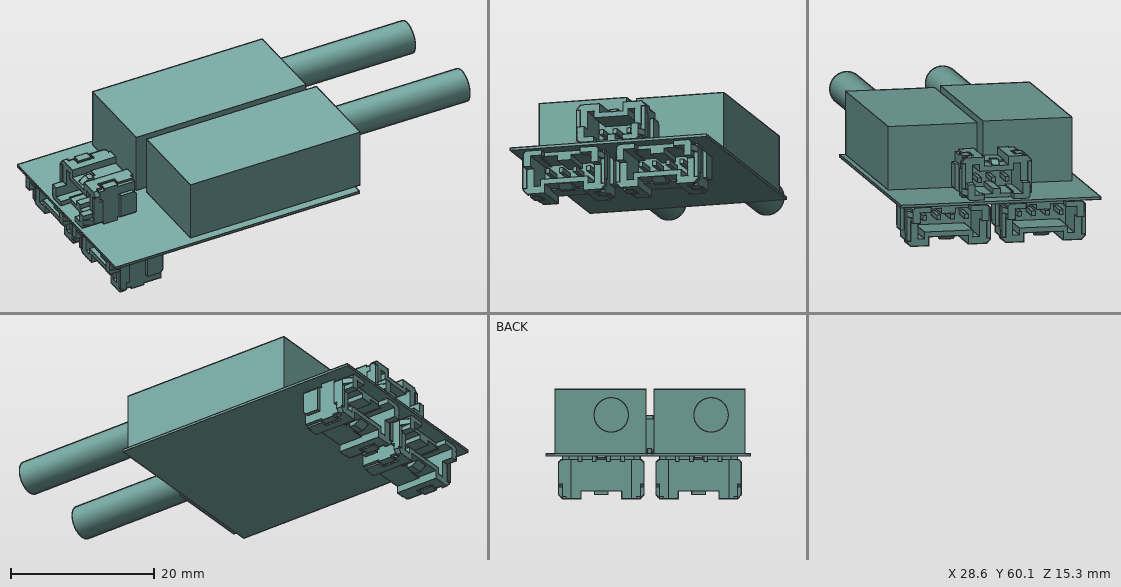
import cadquery as cq

BOARD_WIDTH = 28.6
BOARD_LENGTH = 38.8
BOARD_THICKNESS = 0.35

OVERALL_LENGTH = 60.1
BLOCK_WIDTH = 12.75
BLOCK_LENGTH = 27.0
BLOCK_HEIGHT = 9.0
LEFT_BLOCK_X = -7.15
RIGHT_BLOCK_X = 6.65
LEFT_BLOCK_REAR = 38.5
RIGHT_BLOCK_REAR = 39.6
CABLE_DIAMETER = 4.8
CABLE_HEIGHT = 5.4
LEFT_CABLE_X = -8.8
RIGHT_CABLE_X = 5.15
CABLE_LENGTH = OVERALL_LENGTH - RIGHT_BLOCK_REAR

UPPER_CONNECTOR_X = -0.2
LOWER_CONNECTORS_X = (-7.0, 6.55)

PIN_PITCH = 2.0
HOUSING_HEIGHT = 5.95
HOUSING_FRONT = 2.0
HOUSING_REAR = 8.5
SIDE_WALL = 1.0
MOUTH_MARGIN = 2.9
UNDERSIDE = 0.2
REAR_UNDERSIDE = 0.5

CAVITY_FLOOR = 0.9
CENTRE_FLOOR = 0.7
CAVITY_ROOF = 4.9
CAVITY_BACK = 7.5
KEY_TOP = 1.45
RIB_INSET = 0.95
RIB_BOTTOM = 3.95

SHELF_FRONT_TOP = 4.7
SHELF_REAR_TOP = 4.85
SHELF_STEP_Y = 4.9
TONGUE_FRONT = 4.2
NUB_TOP = 5.35
NUB_CREST_FRONT = 3.35
NUB_FRONT = 2.35

ARM_FRONT = 0.35
OUTER_ARM_TOP = 2.4
LOWER_BEVEL = 0.3

FOOT_FRONT = 3.6
FOOT_REAR = 5.8
INNER_FOOT_REAR = 6.9
INNER_FOOT_INSET = 0.9
FOOT_GAP = 1.1

PLATE_PROUD = 0.55
PLATE_BOTTOM = 0.85
PLATE_TOP = 4.3
FRONT_PLATE_FRONT = 1.8
FRONT_PLATE_STEP = 2.75
FRONT_PLATE_REAR = 3.25
FRONT_PLATE_SHOULDER = 5.35
FRONT_LIP_TOP = 5.15
WEDGE_TOP = 1.7
REAR_PLATE_FRONT = 6.05
REAR_PLATE_CHAMFER = 0.4

EDGE_STEP_DEPTH = 0.3
EDGE_STEP_WIDTH = 0.5
EDGE_STEP_FRONT = 2.7
PAD_FRONT = 3.8
PAD_REAR = 5.8
PAD_WIDTH = 1.2
PAD_GROOVE = 0.3

PANEL_INSET = 1.2
PIN_WIDTH = 0.55
PIN_THICKNESS = 0.65
PIN_HEIGHT = 2.35
PIN_TIP_Y = 3.9
TAIL_REAR = 9.85
TAIL_FRONT = 8.15
TAIL_HEIGHT = 0.7


def box(x_range, y_range, z_range):
    """Axis-aligned box between the given pairs of limits."""
    size = [end - start for start, end in (x_range, y_range, z_range)]
    corner = (x_range[0], y_range[0], z_range[0])
    return cq.Workplane("XY").box(*size, centered=False).translate(corner)


def centred_box(width, y_range, z_range):
    """Box that is symmetric about X = 0."""
    return box((-width / 2, width / 2), y_range, z_range)


def both_sides(shape):
    """The shape together with its mirror image across X = 0."""
    return shape.union(shape.mirror("YZ"))


def make_board():
    return centred_box(BOARD_WIDTH, (0, BOARD_LENGTH), (-BOARD_THICKNESS, 0))


def make_block(centre_x, rear_y):
    block = centred_box(BLOCK_WIDTH, (rear_y - BLOCK_LENGTH, rear_y), (0, BLOCK_HEIGHT))
    return block.translate((centre_x, 0, 0))


def make_cable(centre_x, block_rear_y):
    start = cq.Workplane("XZ", origin=(centre_x, block_rear_y, CABLE_HEIGHT))
    return start.circle(CABLE_DIAMETER / 2).extrude(-CABLE_LENGTH)


def make_shell(half_width, cavity_width, slot_width, key_width):
    """Housing block with its mouth cavity, roof rib, latch slot and floor key."""
    housing_y = (HOUSING_FRONT, HOUSING_REAR)
    cavity_y = (HOUSING_FRONT, CAVITY_BACK)
    rib_width = cavity_width - 2 * RIB_INSET
    shell = centred_box(2 * half_width, housing_y, (UNDERSIDE, HOUSING_HEIGHT))
    shell = shell.cut(centred_box(2 * half_width, (FOOT_REAR, HOUSING_REAR), (UNDERSIDE, REAR_UNDERSIDE)))
    shell = shell.cut(centred_box(cavity_width, cavity_y, (CAVITY_FLOOR, CAVITY_ROOF)))
    shell = shell.cut(centred_box(rib_width, cavity_y, (CENTRE_FLOOR, CAVITY_FLOOR)))
    shell = shell.union(centred_box(rib_width, cavity_y, (RIB_BOTTOM, CAVITY_ROOF)))
    shell = shell.union(centred_box(key_width, cavity_y, (CENTRE_FLOOR, KEY_TOP)))
    slot_front = centred_box(slot_width, (HOUSING_FRONT, SHELF_STEP_Y), (SHELF_FRONT_TOP, HOUSING_HEIGHT))
    slot_rear = centred_box(slot_width, (SHELF_STEP_Y, HOUSING_REAR), (SHELF_REAR_TOP, HOUSING_HEIGHT))
    return shell.cut(slot_front).cut(slot_rear)


def make_latch_nub(nub_width):
    """Tongue from the rear shelf that rises to a nub and ramps down to the front."""
    profile = [
        (SHELF_STEP_Y, SHELF_FRONT_TOP),
        (SHELF_STEP_Y, SHELF_REAR_TOP),
        (TONGUE_FRONT, SHELF_REAR_TOP),
        (TONGUE_FRONT, NUB_TOP),
        (NUB_CREST_FRONT, NUB_TOP),
        (NUB_FRONT, SHELF_FRONT_TOP),
    ]
    return cq.Workplane("YZ").polyline(profile).close().extrude(nub_width / 2, both=True)


def make_arms(half_width, cavity_width, arm_gap):
    """Stepped arms that reach forward below the mouth on both sides."""
    arm_y = (ARM_FRONT, HOUSING_FRONT)
    inner = box((arm_gap / 2, cavity_width / 2), arm_y, (UNDERSIDE, CAVITY_FLOOR))
    outer = box((cavity_width / 2, half_width), arm_y, (UNDERSIDE, OUTER_ARM_TOP))
    return both_sides(inner.union(outer))


def make_lower_bevels(half_width):
    """Material removed along the bottom outer edges, from the arms back to the feet."""
    profile = [
        (half_width, UNDERSIDE),
        (half_width, UNDERSIDE + LOWER_BEVEL),
        (half_width - LOWER_BEVEL, UNDERSIDE),
    ]
    bevel = cq.Workplane("XZ", origin=(0, FOOT_FRONT, 0)).polyline(profile).close()
    return both_sides(bevel.extrude(FOOT_FRONT - ARM_FRONT))


def make_feet(half_width):
    """Feet resting on the board, parted by a gap in the middle."""
    outer = box((FOOT_GAP / 2, half_width), (FOOT_FRONT, FOOT_REAR), (0, UNDERSIDE))
    inner_x = (FOOT_GAP / 2, half_width - INNER_FOOT_INSET)
    inner = box(inner_x, (FOOT_REAR, INNER_FOOT_REAR), (0, REAR_UNDERSIDE))
    return both_sides(outer.union(inner))


def make_front_plates(half_width):
    """Front side plates with a bevelled upper corner and a tapered wedge ahead of each."""
    outer_x = half_width + PLATE_PROUD
    bevelled_profile = [
        (half_width, PLATE_BOTTOM),
        (outer_x, PLATE_BOTTOM),
        (outer_x, FRONT_PLATE_SHOULDER),
        (half_width, HOUSING_HEIGHT),
    ]
    front = cq.Workplane("XZ", origin=(0, FRONT_PLATE_STEP, 0)).polyline(bevelled_profile).close()
    front = front.extrude(FRONT_PLATE_STEP - HOUSING_FRONT)
    lip = box((half_width, outer_x), (FRONT_PLATE_FRONT, HOUSING_FRONT), (PLATE_BOTTOM, FRONT_LIP_TOP))
    rear = box((half_width, outer_x), (FRONT_PLATE_STEP, FRONT_PLATE_REAR), (PLATE_BOTTOM, PLATE_TOP))
    wedge_outline = [
        (half_width, ARM_FRONT),
        (outer_x, FRONT_PLATE_FRONT),
        (half_width, FRONT_PLATE_FRONT),
    ]
    wedge = cq.Workplane("XY", origin=(0, 0, PLATE_BOTTOM)).polyline(wedge_outline).close()
    wedge = wedge.extrude(WEDGE_TOP - PLATE_BOTTOM)
    return both_sides(front.union(lip).union(rear).union(wedge))


def make_rear_plates(half_width):
    """Rear side plates, bevelled at the rear top corner and along the lower outer edge."""
    plate_x = (half_width, half_width + PLATE_PROUD)
    plate = box(plate_x, (REAR_PLATE_FRONT, HOUSING_REAR), (REAR_UNDERSIDE, PLATE_TOP))
    plate = plate.edges("|X and >Y and >Z").chamfer(REAR_PLATE_CHAMFER)
    plate = plate.edges("|Y and >X and <Z").chamfer(PLATE_BOTTOM - REAR_UNDERSIDE)
    return both_sides(plate)


def make_edge_recess(half_width):
    """Material removed along the roof edges, leaving a pad ringed by a groove on each."""
    recess_z = (HOUSING_HEIGHT - EDGE_STEP_DEPTH, HOUSING_HEIGHT)
    pad_inner_x = half_width - PAD_WIDTH
    step_y = (EDGE_STEP_FRONT, HOUSING_REAR)
    groove_y = (PAD_FRONT - PAD_GROOVE, PAD_REAR + PAD_GROOVE)
    step = box((half_width - EDGE_STEP_WIDTH, half_width), step_y, recess_z)
    groove = box((pad_inner_x - PAD_GROOVE, half_width), groove_y, recess_z)
    pad = box((pad_inner_x, half_width), (PAD_FRONT, PAD_REAR), recess_z)
    return both_sides(step.union(groove).cut(pad))


def make_rear_panel(half_width, panel_depth, slot_width):
    """Panel on the rear face, following the latch slot."""
    panel_y = (HOUSING_REAR, HOUSING_REAR + panel_depth)
    panel = centred_box(2 * (half_width - PANEL_INSET), panel_y, (REAR_UNDERSIDE, HOUSING_HEIGHT))
    return panel.cut(centred_box(slot_width, panel_y, (SHELF_REAR_TOP, HOUSING_HEIGHT)))


def make_pin():
    """Contact in the cavity and its solder tail behind the housing."""
    half_thickness = PIN_THICKNESS / 2
    contact_z = (PIN_HEIGHT - half_thickness, PIN_HEIGHT + half_thickness)
    contact = centred_box(PIN_WIDTH, (PIN_TIP_Y, CAVITY_BACK), contact_z)
    tail = centred_box(PIN_WIDTH, (TAIL_FRONT, TAIL_REAR), (0, TAIL_HEIGHT))
    return contact.union(tail)


def make_connector(pin_count, slot_width, arm_gap, key_width, nub_width, panel_depth):
    """One connector, housing and contacts in a single solid, standing on Z = 0."""
    pin_span = (pin_count - 1) * PIN_PITCH
    cavity_width = pin_span + MOUTH_MARGIN
    half_width = cavity_width / 2 + SIDE_WALL
    connector = make_shell(half_width, cavity_width, slot_width, key_width)
    connector = connector.cut(make_edge_recess(half_width))
    connector = connector.union(make_latch_nub(nub_width))
    connector = connector.union(make_arms(half_width, cavity_width, arm_gap))
    connector = connector.cut(make_lower_bevels(half_width))
    connector = connector.union(make_feet(half_width))
    connector = connector.union(make_front_plates(half_width))
    connector = connector.union(make_rear_plates(half_width))
    connector = connector.union(make_rear_panel(half_width, panel_depth, slot_width))
    for index in range(pin_count):
        connector = connector.union(make_pin().translate((index * PIN_PITCH - pin_span / 2, 0, 0)))
    return connector


def make_upper_connector():
    connector = make_connector(
        pin_count=3, slot_width=3.4, arm_gap=4.2, key_width=1.1, nub_width=1.1, panel_depth=0.35
    )
    return connector.translate((UPPER_CONNECTOR_X, 0, 0))


def make_lower_connector(centre_x):
    """Four-pin connector hanging upside down from the underside of the board."""
    connector = make_connector(
        pin_count=4, slot_width=5.65, arm_gap=5.65, key_width=2.0, nub_width=1.9, panel_depth=0.1
    )
    return connector.mirror("XY").translate((centre_x, 0, -BOARD_THICKNESS))


board = make_board()
blocks = [
    make_block(LEFT_BLOCK_X, LEFT_BLOCK_REAR),
    make_block(RIGHT_BLOCK_X, RIGHT_BLOCK_REAR),
]
cables = [
    make_cable(LEFT_CABLE_X, LEFT_BLOCK_REAR),
    make_cable(RIGHT_CABLE_X, RIGHT_BLOCK_REAR),
]
upper_connector = make_upper_connector()
lower_connectors = [make_lower_connector(centre_x) for centre_x in LOWER_CONNECTORS_X]

bodies = [board, *blocks, *cables, upper_connector, *lower_connectors]
result = cq.Compound.makeCompound([body.val() for body in bodies])